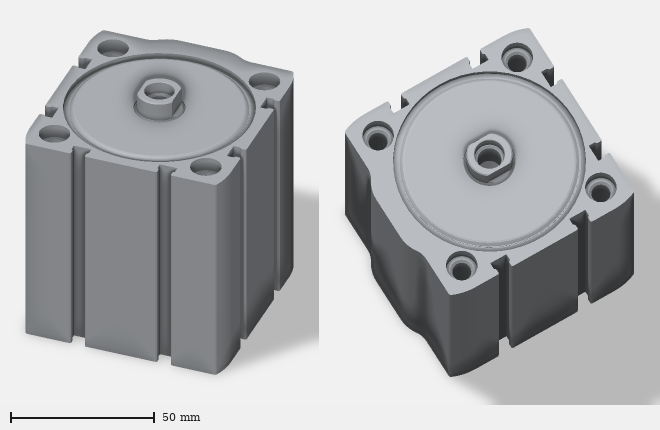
import cadquery as cq
import math

total_height = 87.0
housing_height = 79.9
half_width = 37.5

bulge_height = 3.5
bulge_flat_half = 8.2
bulge_crest_radius = 13.05
bulge_root_radius = 7.8
side_straight_half = 28.3
side_curve_radius = 21.5
corner_radius = 1.05

slot_offset = 16.0
slot_mouth_width = 5.1
slot_inner_width = 6.5
slot_depth = 5.0
slot_lip_depth = 1.9
slot_mouth_chamfer = 0.35

mount_spacing = 56.4
mount_bore = 6.6
mount_chamfer_diameter = 8.35
counterbore_diameter = 11.0
counterbore_depth = 5.1

cover_flat_diameter = 59.2
cover_edge_diameter = 60.4
cover_foot_diameter = 62.3
cover_diameter = 63.0
ring_diameter = 63.7
groove_diameter = 67.0
cover_edge_drop = 0.2
ring_step = 0.2
cover_bevel_angle = 40.0
groove_floor_angle = 30.0

rod_diameter = 16.0
rod_seat_depth = 34.8
rod_flat_width = 13.05
rod_flat_bottom = 0.6
rod_flat_slope = 30.0
rod_edge_chamfer = 0.4
recess_diameter = 18.1
recess_slope_diameter = 17.6
recess_angle = 45.0

rod_hole_mouth = 11.0
rod_hole_diameter = 10.5
rod_step_diameter = 9.8
rod_hole_depth = 4.5
drill_diameter = 8.35
drill_depth = 17.4
drill_point_angle = 118.0


def housing_outline():
    """Closed outline of the extruded section, with sharp corners."""
    bulge_top = half_width + bulge_height
    sweep = math.acos(1 - bulge_height / (bulge_crest_radius + bulge_root_radius))
    crest_x = bulge_flat_half + bulge_crest_radius * math.sin(sweep)
    crest_y = bulge_top - bulge_crest_radius * (1 - math.cos(sweep))
    root_x = crest_x + bulge_root_radius * math.sin(sweep)
    curve_run = half_width - side_straight_half
    corner_x = half_width - side_curve_radius + math.sqrt(side_curve_radius**2 - curve_run**2)
    return (
        cq.Workplane("XY")
        .moveTo(-bulge_flat_half, bulge_top)
        .lineTo(bulge_flat_half, bulge_top)
        .radiusArc((crest_x, crest_y), bulge_crest_radius)
        .radiusArc((root_x, half_width), -bulge_root_radius)
        .lineTo(corner_x, half_width)
        .radiusArc((half_width, side_straight_half), side_curve_radius)
        .lineTo(half_width, -side_straight_half)
        .radiusArc((corner_x, -half_width), side_curve_radius)
        .lineTo(-corner_x, -half_width)
        .radiusArc((-half_width, -side_straight_half), side_curve_radius)
        .lineTo(-half_width, side_straight_half)
        .radiusArc((-corner_x, half_width), side_curve_radius)
        .lineTo(-root_x, half_width)
        .radiusArc((-crest_x, crest_y), -bulge_root_radius)
        .radiusArc((-bulge_flat_half, bulge_top), bulge_crest_radius)
        .close()
    )


def housing_block():
    """Extruded section with its four outer corners rounded."""
    block = housing_outline().extrude(housing_height)
    middle = housing_height / 2
    corners = []
    for sx in (-1, 1):
        for sy in (-1, 1):
            near_corner = cq.selectors.NearestToPointSelector((sx * half_width, sy * half_width, middle))
            corners += block.edges("|Z").edges(near_corner).vals()
    return block.newObject(corners).fillet(corner_radius)


def slot_cutter(offset, angle):
    """T-slot cutter for the -Y side, turned about Z to its own side."""
    mouth = slot_mouth_width / 2
    inner = slot_inner_width / 2
    shoulder_depth = slot_lip_depth + inner - mouth
    half_section = [
        (mouth + slot_mouth_chamfer, 0),
        (mouth, slot_mouth_chamfer),
        (mouth, slot_lip_depth),
        (inner, shoulder_depth),
        (inner, slot_depth),
    ]
    mirrored = [(-x, depth) for x, depth in reversed(half_section)]
    points = [(offset + x, depth - half_width) for x, depth in half_section + mirrored]
    cutter = cq.Workplane("XY").polyline(points).close().extrude(housing_height)
    return cutter.rotate((0, 0, 0), (0, 0, 1), angle)


def revolve_profile(points):
    """Solid of revolution about Z from (radius, z) points."""
    return cq.Workplane("XZ").polyline(points).close().revolve(360, (0, 0), (0, 1))


def slope_drop(run, angle):
    """Height lost over a horizontal run at an angle in degrees below horizontal."""
    return run * math.tan(math.radians(angle))


def mount_hole_cutter():
    """Counterbored through hole with a chamfer at the counterbore floor."""
    bore = mount_bore / 2
    chamfer = mount_chamfer_diameter / 2
    wide = counterbore_diameter / 2
    floor = housing_height - counterbore_depth
    return revolve_profile([
        (0, 0),
        (bore, 0),
        (bore, floor - (chamfer - bore)),
        (chamfer, floor),
        (wide, floor),
        (wide, housing_height),
        (0, housing_height),
    ])


def cover_groove_cutter():
    """Ring groove between the housing and the bevelled edge of its end cover."""
    top = housing_height
    edge = cover_edge_diameter / 2
    foot = cover_foot_diameter / 2
    ring = ring_diameter / 2
    wall = groove_diameter / 2
    edge_z = top - cover_edge_drop
    foot_z = edge_z - slope_drop(foot - edge, cover_bevel_angle)
    ring_z = foot_z - ring_step
    return revolve_profile([
        (cover_flat_diameter / 2, top),
        (edge, edge_z),
        (foot, foot_z),
        (cover_diameter / 2, foot_z),
        (cover_diameter / 2, ring_z),
        (ring, ring_z),
        (wall, ring_z - slope_drop(wall - ring, groove_floor_angle)),
        (wall, top),
    ])


def rod_seat_cutter():
    """Blind seat for the rod, with a conical recess around its mouth."""
    top = housing_height
    rod = rod_diameter / 2
    recess = recess_diameter / 2
    slope_end = recess_slope_diameter / 2
    floor = top - slope_drop(slope_end - rod, recess_angle)
    return revolve_profile([
        (0, top - rod_seat_depth),
        (rod, top - rod_seat_depth),
        (rod, top),
        (slope_end, floor),
        (recess, floor),
        (recess, top),
        (0, top),
    ])


def make_housing():
    housing = housing_block()
    for angle in (-90, 0, 90):
        for offset in (-slot_offset, slot_offset):
            housing = housing.cut(slot_cutter(offset, angle))
    mount_hole = mount_hole_cutter()
    for sx in (-1, 1):
        for sy in (-1, 1):
            place = (sx * mount_spacing / 2, sy * mount_spacing / 2, 0)
            housing = housing.cut(mount_hole.translate(place))
    return housing.cut(cover_groove_cutter()).cut(rod_seat_cutter())


def rod_hole_cutter():
    """Chamfered hole, stepping down by a cone to a pointed drill hole."""
    mouth = rod_hole_mouth / 2
    hole = rod_hole_diameter / 2
    cone = rod_step_diameter / 2
    drill = drill_diameter / 2
    step = total_height - rod_hole_depth
    drill_end = total_height - drill_depth
    point_height = drill / math.tan(math.radians(drill_point_angle / 2))
    return revolve_profile([
        (0, drill_end - point_height),
        (drill, drill_end),
        (drill, step - (cone - drill)),
        (cone, step),
        (hole, step),
        (hole, total_height - (mouth - hole)),
        (mouth, total_height),
        (0, total_height),
    ])


def flat_cutter(side):
    """Wrench flat on one X side, running out of the rod by a slope."""
    flat = rod_flat_width / 2
    outside = rod_diameter
    bottom = housing_height + rod_flat_bottom
    points = [
        (flat, total_height),
        (flat, bottom),
        (outside, bottom - slope_drop(outside - flat, rod_flat_slope)),
        (outside, total_height),
    ]
    return (
        cq.Workplane("XZ")
        .polyline([(side * x, z) for x, z in points])
        .close()
        .extrude(rod_diameter / 2, both=True)
    )


def make_rod():
    seat_floor = housing_height - rod_seat_depth
    rod = (
        cq.Workplane("XY")
        .workplane(offset=seat_floor)
        .circle(rod_diameter / 2)
        .extrude(total_height - seat_floor)
        .faces(">Z")
        .chamfer(rod_edge_chamfer)
    )
    for side in (-1, 1):
        rod = rod.cut(flat_cutter(side))
    return rod.cut(rod_hole_cutter())


housing = make_housing()
rod = make_rod()
result = cq.Compound.makeCompound([housing.val(), rod.val()])